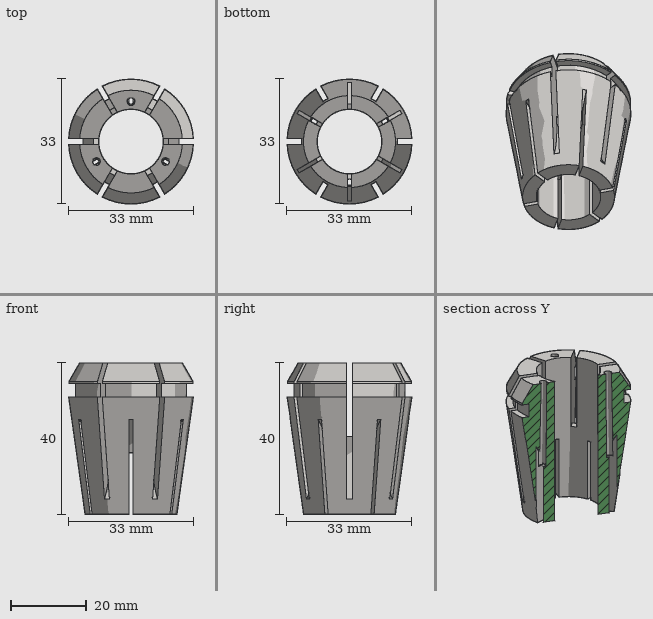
import cadquery as cq
import math


LENGTH = 40.0
BODY_TOP_Z = 31.0
BODY_TOP_RADIUS = 16.5
BODY_HALF_ANGLE = 8.0
GROOVE_RADIUS = 14.7
GROOVE_TOP_Z = 34.5
LIP_RADIUS = 16.42
LIP_TOP_Z = 35.05
NOSE_HALF_ANGLE = 30.0

BORE_RADIUS = 8.5

SLIT_COUNT = 6
SLIT_PITCH = 360.0 / SLIT_COUNT
SLIT_RAMP_RADIUS = 9.95
SLIT_RAMP_ANGLE = 18.0
NOSE_SLIT_WIDTH = 1.5
NOSE_SLIT_OUTER_Z = 4.0
NOSE_SLIT_INNER_Z = 20.6
NOSE_SLIT_ARC_RADIUS = 25.0
TAIL_SLIT_WIDTH = 1.0
TAIL_SLIT_OUTER_Z = 25.0
TAIL_SLIT_INNER_Z = 16.2
TAIL_SLIT_ARC_RADIUS = 17.5
TAIL_SLIT_OFFSET = SLIT_PITCH / 2

HOLE_COUNT = 3
HOLE_START_ANGLE = 90.0
HOLE_RADIUS = 1.0
HOLE_CENTER_RADIUS = 10.5
HOLE_TILT = 1.0
HOLE_DEPTH = 24.0

CLEARANCE = 1.0
SLIT_START_RADIUS = BORE_RADIUS - CLEARANCE


def taper_radius(z):
    """Radius of the long outside taper at height z."""
    return BODY_TOP_RADIUS - (BODY_TOP_Z - z) * math.tan(math.radians(BODY_HALF_ANGLE))


def make_body():
    """Tapered body, groove, lip and nose cone, revolved around the bore."""
    nose_radius = LIP_RADIUS - (LENGTH - LIP_TOP_Z) * math.tan(math.radians(NOSE_HALF_ANGLE))
    profile = [
        (BORE_RADIUS, 0),
        (taper_radius(0), 0),
        (BODY_TOP_RADIUS, BODY_TOP_Z),
        (GROOVE_RADIUS, BODY_TOP_Z),
        (GROOVE_RADIUS, GROOVE_TOP_Z),
        (LIP_RADIUS, GROOVE_TOP_Z),
        (LIP_RADIUS, LIP_TOP_Z),
        (nose_radius, LENGTH),
        (BORE_RADIUS, LENGTH),
    ]
    return cq.Workplane("XZ").polyline(profile).close().revolve(360, (0, 0), (0, 1))


def arc_middle(inner, outer, radius):
    """Middle point of the arc from inner to outer, bulging toward the axis."""
    chord_r = outer[0] - inner[0]
    chord_z = outer[1] - inner[1]
    chord = math.hypot(chord_r, chord_z)
    bulge = radius - math.sqrt(radius**2 - (chord / 2) ** 2)
    middle_r = (inner[0] + outer[0]) / 2 - bulge * abs(chord_z) / chord
    middle_z = (inner[1] + outer[1]) / 2 + bulge * chord_r / chord * math.copysign(1, chord_z)
    return (middle_r, middle_z)


def make_slit(width, inner_z, outer_z, arc_radius, end_z):
    """One slit along +X, running from its ramp and arc out through the end at end_z."""
    inner = (SLIT_RAMP_RADIUS, inner_z)
    outer = (taper_radius(outer_z), outer_z)
    ramp_run = SLIT_RAMP_RADIUS - SLIT_START_RADIUS
    ramp_rise = math.copysign(ramp_run * math.tan(math.radians(SLIT_RAMP_ANGLE)), outer_z - inner_z)
    outside = BODY_TOP_RADIUS + CLEARANCE
    return (
        cq.Workplane("XZ")
        .moveTo(SLIT_START_RADIUS, inner_z + ramp_rise)
        .lineTo(*inner)
        .threePointArc(arc_middle(inner, outer, arc_radius), outer)
        .lineTo(outside, outer_z)
        .lineTo(outside, end_z)
        .lineTo(SLIT_START_RADIUS, end_z)
        .close()
        .extrude(width / 2, both=True)
    )


def make_coolant_hole():
    """One leaning blind hole, on the +X side of the nose face."""
    tilt = math.radians(HOLE_TILT)
    direction = cq.Vector(math.sin(tilt), 0, -math.cos(tilt))
    mouth = cq.Vector(HOLE_CENTER_RADIUS, 0, LENGTH)
    start = mouth - direction * CLEARANCE
    return cq.Workplane(cq.Solid.makeCylinder(HOLE_RADIUS, HOLE_DEPTH + CLEARANCE, start, direction))


def cut_around(body, cutter, count, start_angle):
    """Cut evenly spaced copies of the cutter around the Z axis."""
    for index in range(count):
        angle = start_angle + index * 360.0 / count
        body = body.cut(cutter.rotate((0, 0, 0), (0, 0, 1), angle))
    return body


nose_slit = make_slit(
    NOSE_SLIT_WIDTH,
    NOSE_SLIT_INNER_Z,
    NOSE_SLIT_OUTER_Z,
    NOSE_SLIT_ARC_RADIUS,
    LENGTH + CLEARANCE,
)
tail_slit = make_slit(
    TAIL_SLIT_WIDTH,
    TAIL_SLIT_INNER_Z,
    TAIL_SLIT_OUTER_Z,
    TAIL_SLIT_ARC_RADIUS,
    -CLEARANCE,
)

result = make_body()
result = cut_around(result, nose_slit, SLIT_COUNT, 0)
result = cut_around(result, tail_slit, SLIT_COUNT, TAIL_SLIT_OFFSET)
result = cut_around(result, make_coolant_hole(), HOLE_COUNT, HOLE_START_ANGLE)